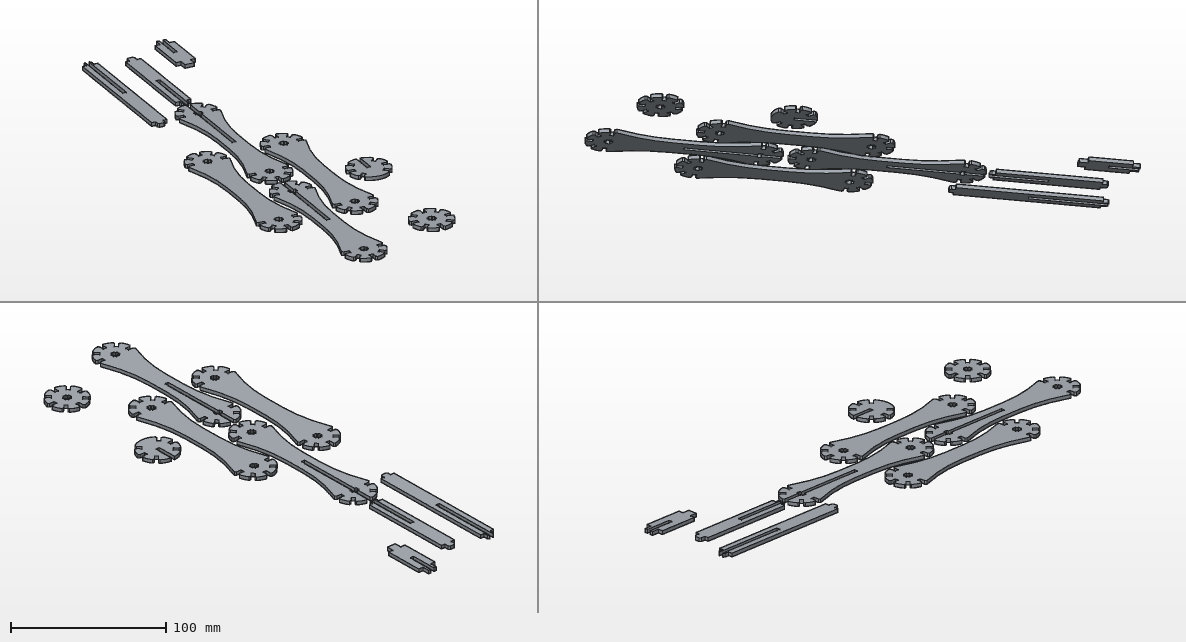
import cadquery as cq
import math

thickness = 2.7
slot_width = 2.7
rim_slot_depth = 5.0
disc_diameter = 30.0
disc_radius = disc_diameter / 2
mouth_chamfer = 1.0
slot_pitch = 45
half_slot_disc_angles = [45, 90, 135, 225, 270, 315]

hole_spacing = 100.0
waist_width = 15.0
waist_length = 16.5

LEFT = -1
RIGHT = 1
slim_tab_width = 5.5
slim_section = {"body_width": 11.0, "tab_width": slim_tab_width, "tab_chamfer": 1.0}
wide_section = {"body_width": 14.0, "tab_width": 6.8, "tab_chamfer": 0}
wide_tab = 5.5
long_tab = 4.3
short_tab = 3.5

layout_length = 358.7
layout_width = 118.0

mouth_reach = math.sqrt(disc_radius**2 - (slot_width / 2 + mouth_chamfer) ** 2)
top_row_y = layout_width / 2 - mouth_reach
bottom_row_y = -top_row_y

half_slot_disc_x = 55.0
cross_disc_x = 143.0

plain_bone_places = [(47.0, 12.2), (49.0, bottom_row_y)]
rightmost_bone_x = layout_length / 2 - hole_spacing / 2 - mouth_reach
slotted_bone_places = [(-19.5, -15.5), (rightmost_bone_x, -16.0)]

short_bar_y = 14.5
middle_bar_x = -165.0
middle_bar_y = -15.5
long_bar_x = -171.5
long_bar_y = -43.5


def box(length, width, x, y):
    """Sheet-thick rectangle centred on (x, y)."""
    return cq.Workplane("XY").center(x, y).rect(length, width).extrude(thickness)


def round_plate(diameter, x=0.0):
    """Sheet-thick disc centred on (x, 0)."""
    return cq.Workplane("XY").center(x, 0).circle(diameter / 2).extrude(thickness)


def make_cross():
    """Cross-shaped cutter centred on the origin, the section of two interlocked bar tabs."""
    return box(slim_tab_width, slot_width, 0, 0).union(box(slot_width, slim_tab_width, 0, 0))


def make_rim_slot():
    """Cutter for a rim slot that opens along +X, with a 45 degree flare at its mouth."""
    half_width = slot_width / 2
    flare_start = mouth_reach - mouth_chamfer
    flare_end_y = half_width + disc_radius - flare_start
    return (
        cq.Workplane("XY")
        .moveTo(disc_radius - rim_slot_depth, half_width)
        .lineTo(flare_start, half_width)
        .lineTo(disc_radius, flare_end_y)
        .lineTo(disc_radius, -flare_end_y)
        .lineTo(flare_start, -half_width)
        .lineTo(disc_radius - rim_slot_depth, -half_width)
        .close()
        .extrude(thickness)
    )


def cut_rim_slots(body, angles, x=0.0):
    """Cut radial slots into the rim of the disc centred on (x, 0)."""
    for angle in angles:
        slot = make_rim_slot().rotate((0, 0, 0), (0, 0, 1), angle)
        body = body.cut(slot.translate((x, 0, 0)))
    return body


def make_cross_disc():
    """Disc with eight rim slots and a central cross-shaped hole."""
    disc = cut_rim_slots(round_plate(disc_diameter), range(0, 360, slot_pitch))
    return disc.cut(make_cross())


def make_half_slot_disc():
    """Disc with six rim slots and one slot from the rim to the centre."""
    disc = cut_rim_slots(round_plate(disc_diameter), half_slot_disc_angles)
    return disc.cut(box(disc_radius, slot_width, -disc_radius / 2, 0))


def make_web():
    """Web between the discs: a straight waist that flares through arcs tangent to it and to the discs."""
    disc_x = hole_spacing / 2
    waist_x = waist_length / 2
    waist_y = waist_width / 2
    run = disc_x - waist_x
    flare_radius = (run**2 + waist_y**2 - disc_radius**2) / (2 * (disc_radius - waist_y))
    flare_angle = math.asin(run / (flare_radius + disc_radius))
    touch_x = disc_x - disc_radius * math.sin(flare_angle)
    touch_y = disc_radius * math.cos(flare_angle)
    middle_x = waist_x + flare_radius * math.sin(flare_angle / 2)
    middle_y = waist_y + flare_radius * (1 - math.cos(flare_angle / 2))
    quarter = (
        cq.Workplane("XY")
        .lineTo(0, waist_y)
        .lineTo(waist_x, waist_y)
        .threePointArc((middle_x, middle_y), (touch_x, touch_y))
        .lineTo(disc_x, 0)
        .close()
        .extrude(thickness)
    )
    half = quarter.union(quarter.mirror("XZ"))
    return half.union(half.mirror("YZ")).clean()


def make_plain_bone():
    """Bone with five rim slots and a cross-shaped hole at each end."""
    bone = make_web()
    for side in (LEFT, RIGHT):
        bone = bone.union(round_plate(disc_diameter, side * hole_spacing / 2))
    for side, first_angle in ((LEFT, 90), (RIGHT, -90)):
        disc_x = side * hole_spacing / 2
        outer_angles = [first_angle + step * slot_pitch for step in range(5)]
        bone = cut_rim_slots(bone, outer_angles, disc_x)
        bone = bone.cut(make_cross().translate((disc_x, 0, 0)))
    return bone


def make_slotted_bone():
    """Bone with a slot from its left end to its middle."""
    half_length = (hole_spacing + disc_diameter) / 2
    return make_plain_bone().cut(box(half_length, slot_width, -half_length / 2, 0))


def make_bar(body_length, body_width, left_tab, right_tab, tab_width, tab_chamfer, slot_side):
    """Bar with a centred tab on each end and a slot from one end to its middle.

    The left end is at x = 0; slot_side is LEFT or RIGHT, the end where the slot opens.
    """
    length = left_tab + body_length + right_tab
    bar = box(length, tab_width, length / 2, 0)
    if tab_chamfer:
        bar = bar.edges("|Z").chamfer(tab_chamfer)
    bar = bar.union(box(body_length, body_width, left_tab + body_length / 2, 0))
    return bar.cut(box(length / 2, slot_width, length / 2 + slot_side * length / 4, 0))


short_bar = make_bar(
    body_length=29.5, left_tab=wide_tab, right_tab=wide_tab, slot_side=LEFT, **wide_section
).translate((-layout_length / 2, short_bar_y, 0))
middle_bar = make_bar(
    body_length=70.3, left_tab=long_tab, right_tab=short_tab, slot_side=RIGHT, **slim_section
).translate((middle_bar_x, middle_bar_y, 0))
long_bar = make_bar(
    body_length=97.2, left_tab=long_tab, right_tab=short_tab, slot_side=LEFT, **slim_section
).translate((long_bar_x, long_bar_y, 0))
cross_disc = make_cross_disc().translate((cross_disc_x, top_row_y, 0))
half_slot_disc = make_half_slot_disc().translate((half_slot_disc_x, top_row_y, 0))
plain_bones = [make_plain_bone().translate((x, y, 0)) for x, y in plain_bone_places]
slotted_bones = [make_slotted_bone().translate((x, y, 0)) for x, y in slotted_bone_places]

bodies = [short_bar, middle_bar, long_bar, cross_disc, half_slot_disc, *plain_bones, *slotted_bones]
result = cq.Compound.makeCompound([body.val() for body in bodies])